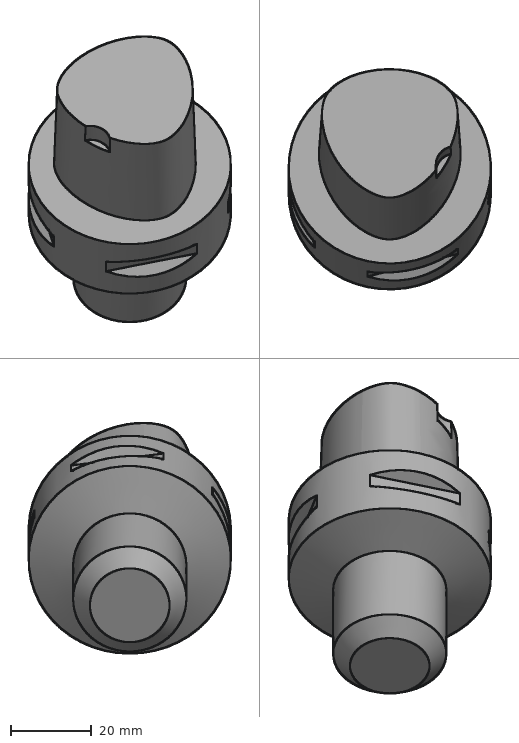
import cadquery as cq
import math

total_height = 80.0
shank_radius = 28.0 / 2
shank_chamfer = 4.2
shank_top = 26.0
flange_radius = 50.0 / 2
flange_bottom = 30.0
flange_top = 50.0

mean_radius = 17.5
lobe_height = 1.2
taper_ratio = 1 / 20
face_half_angle = 23.5
points_per_face = 9

notch_radius = 5.0
notch_depth = 5.6
notch_inner_y = -13.9

groove_floor_distance = 22.2
groove_floor_height = 3.8
groove_wall_angle = 30.0
groove_z = (flange_bottom + flange_top) / 2


def make_turned_body():
    profile = [
        (0, 0),
        (shank_radius - shank_chamfer, 0),
        (shank_radius, shank_chamfer),
        (shank_radius, shank_top),
        (flange_radius, flange_bottom),
        (flange_radius, flange_top),
        (0, flange_top),
    ]
    return cq.Workplane("XZ").polyline(profile).close().revolve(360, (0, 0), (0, 1))


def polygon_point(radius, normal_degrees, z):
    """Outline point whose outward normal makes the given angle with +Y."""
    angle = math.radians(normal_degrees)
    support = radius + lobe_height * math.cos(3 * angle)
    slide = -3 * lobe_height * math.sin(3 * angle)
    x = -support * math.sin(angle) - slide * math.cos(angle)
    y = support * math.cos(angle) - slide * math.sin(angle)
    return cq.Vector(x, y, z)


def polygon_tangent(normal_degrees):
    angle = math.radians(normal_degrees)
    return cq.Vector(-math.cos(angle), -math.sin(angle), 0)


def polygon_edge(radius, start, end, z):
    step = (end - start) / (points_per_face - 1)
    points = [polygon_point(radius, start + i * step, z) for i in range(points_per_face)]
    tangents = [polygon_tangent(start), polygon_tangent(end)]
    return cq.Edge.makeSpline(points, tangents=tangents)


def polygon_wire(radius, z):
    """Closed outline of three flat faces alternating with three lobes."""
    edges = []
    for face_centre in (60, 180, 300):
        face_start = face_centre - face_half_angle
        face_end = face_centre + face_half_angle
        next_face_start = face_start + 120
        edges.append(polygon_edge(radius, face_start, face_end, z))
        edges.append(polygon_edge(radius, face_end, next_face_start, z))
    return cq.Wire.assembleEdges(edges)


def make_polygon_taper():
    top_radius = mean_radius - (total_height - flange_top) * taper_ratio / 2
    lower = polygon_wire(mean_radius, flange_top)
    upper = polygon_wire(top_radius, total_height)
    return cq.Workplane(obj=cq.Solid.makeLoft([lower, upper], True))


def make_notch():
    return (
        cq.Workplane("XY", origin=(0, notch_inner_y - notch_radius, total_height))
        .circle(notch_radius)
        .extrude(-notch_depth)
    )


def make_groove():
    """Straight trapezoidal cutter along Y, opening outwards along +X."""
    outer_distance = flange_radius + 0.8
    floor_half = groove_floor_height / 2
    flare = (outer_distance - groove_floor_distance) * math.tan(math.radians(groove_wall_angle))
    section = [
        (groove_floor_distance, groove_z - floor_half),
        (outer_distance, groove_z - floor_half - flare),
        (outer_distance, groove_z + floor_half + flare),
        (groove_floor_distance, groove_z + floor_half),
    ]
    return cq.Workplane("XZ").polyline(section).close().extrude(flange_radius, both=True)


result = make_turned_body().union(make_polygon_taper()).cut(make_notch())
for diagonal in (45, 135, 225, 315):
    result = result.cut(make_groove().rotate((0, 0, 0), (0, 0, 1), diagonal))